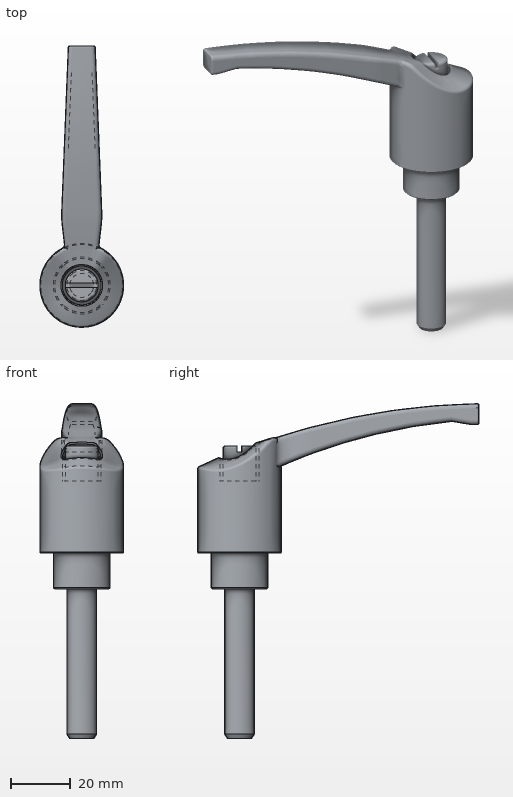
import cadquery as cq
import math


stud_diameter = 10.0
stud_length = 50.0
stud_tip_diameter = 8.0
stud_tip_height = 1.5

collar_diameter = 19.0
collar_height = 12.0
collar_chamfer = 0.5

hub_diameter = 28.0
hub_radius = hub_diameter / 2
hub_bottom_chamfer = 0.3
hub_rim_fillet = 1.0
wall_tolerance = 0.05

crown_height = 47.1
crown_tilt = 0.49
crown_mean_fall = 0.18
crown_cross_fall = 0.21
crown_overhang = 3.0
crown_outer_radius = hub_radius + crown_overhang
crown_points = 36
arm_slope = 0.285
flat_half_angle = math.radians(20)
cone_half_angle = math.radians(54)

bore_diameter = 13.0
bore_floor = 36.0
bore_rim_chamfer = 0.5
screw_diameter = 11.0
screw_top = 47.8
screw_fillet = 0.85
slot_width = 1.5
slot_depth = 2.0
screw_overlap = 0.5
crown_inner_radius = screw_diameter / 2 - screw_overlap

overall_height = 111.93
overall_depth = 94.0
arm_tip_y = overall_depth - hub_radius
arm_top_z = overall_height - stud_length
arm_tip_depth = 7.0
arm_root_y = 8.0
arm_root_sink = 0.15
arm_rim_rise = 0.05
arm_root_z = crown_height + arm_root_y * arm_slope - arm_root_sink
top_arc_start = (hub_radius, crown_height + hub_radius * arm_slope + arm_rim_rise)
bottom_lip_length = 2.6
bottom_lip_y = arm_tip_y - bottom_lip_length
bottom_arc_start = (71.0, 56.0)
bottom_arc_middle = (43.5, 51.2)
bottom_arc_end = (arm_root_y, 38.4)

arm_tip_half_width = 4.5
arm_wide_half_width = 6.8
arm_wide_y = 22.4
arm_neck_half_width = 5.8
arm_root_half_width = 4.0
arm_wide_round = 25.0
arm_top_fillet = 1.5
arm_bottom_fillet = 1.4
arm_tip_fillet = 0.6
arm_neck_round = 1.7

neck_round_x = arm_neck_half_width + arm_neck_round
neck_round_y = math.sqrt((hub_radius + arm_neck_round) ** 2 - neck_round_x ** 2)
neck_foot_x = neck_round_x * hub_radius / (hub_radius + arm_neck_round)
neck_foot_y = neck_round_y * hub_radius / (hub_radius + arm_neck_round)


def cylinder(diameter, bottom, top):
    return cq.Workplane("XY").workplane(offset=bottom).circle(diameter / 2).extrude(top - bottom)


def make_stud():
    stud = cylinder(stud_diameter, -stud_length, collar_height)
    tip_inset = (stud_diameter - stud_tip_diameter) / 2
    return stud.faces("<Z").chamfer(stud_tip_height, tip_inset)


def make_collar():
    collar = cylinder(collar_diameter, 0, collar_height)
    return collar.faces("<Z").chamfer(collar_chamfer)


def crown_fall(angle):
    """Slope of the hub top along the ruling at an angle measured from +Y."""
    flat = -arm_slope * math.cos(angle)
    cone = crown_mean_fall - crown_tilt * math.cos(angle) - crown_cross_fall * math.cos(2 * angle)
    off_arm = abs(math.remainder(angle, 2 * math.pi))
    share = min(max((off_arm - flat_half_angle) / (cone_half_angle - flat_half_angle), 0), 1)
    blend = share * share * (3 - 2 * share)
    return flat + blend * (cone - flat)


def crown_z(radius, angle):
    return crown_height - radius * crown_fall(angle)


def base_z(radius, angle):
    return 0.0


def closed_curve(radius, height_at):
    """Closed curve around the hub axis whose height follows a function of radius and angle."""
    points = []
    for i in range(crown_points):
        angle = 2 * math.pi * i / crown_points
        points.append((-radius * math.sin(angle), radius * math.cos(angle), height_at(radius, angle)))
    curve = cq.Edge.makeSpline([cq.Vector(*point) for point in points], periodic=True)
    return cq.Wire.assembleEdges([curve])


def make_crown_block():
    """Oversize ring whose top is the ruled crown surface."""
    inner_top = closed_curve(crown_inner_radius, crown_z)
    outer_top = closed_curve(crown_outer_radius, crown_z)
    inner_base = closed_curve(crown_inner_radius, base_z)
    outer_base = closed_curve(crown_outer_radius, base_z)
    surfaces = [
        cq.Face.makeRuledSurface(inner_top, outer_top),
        cq.Face.makeRuledSurface(outer_top, outer_base),
        cq.Face.makeRuledSurface(inner_base, inner_top),
        cq.Face.makeFromWires(outer_base, [inner_base]),
    ]
    faces = [face for surface in surfaces for face in surface.Faces()]
    ring = cq.Solid.makeSolid(cq.Shell.makeShell(faces))
    return cq.Workplane(ring.fix())


def top_edge(hub, radius):
    """Edges where the hub top meets an upright wall of the given radius."""
    def on_rim(edge):
        middle = edge.positionAt(0.5)
        near_wall = abs(math.hypot(middle.x, middle.y) - radius) < wall_tolerance
        return near_wall and middle.z > bore_floor and edge.geomType() != "LINE"

    return hub.edges().filter(on_rim)


def make_hub():
    hub = cylinder(hub_diameter, collar_height, arm_top_z).intersect(make_crown_block())
    bottom_edge = cq.selectors.RadiusNthSelector(-1)
    hub = hub.faces("<Z").edges("%CIRCLE").edges(bottom_edge).chamfer(hub_bottom_chamfer)
    hub = top_edge(hub, hub_radius).fillet(hub_rim_fillet)
    hub = hub.cut(cylinder(bore_diameter, bore_floor, arm_top_z))
    return top_edge(hub, bore_diameter / 2).chamfer(bore_rim_chamfer)


def long_edges(arm, upper):
    """Edges along the two flanks: those above the chord of the top, or those below it."""
    chord_slope = (arm_top_z - arm_root_z) / (arm_tip_y - arm_root_y)

    def on_flank(edge):
        middle = edge.positionAt(0.5)
        on_side = abs(middle.x) > arm_tip_half_width / 2
        runs_along = abs(edge.startPoint().y - edge.endPoint().y) > arm_tip_fillet
        above_chord = middle.z > arm_root_z - arm_top_fillet / 2 + chord_slope * (middle.y - arm_root_y)
        outside_hub = middle.y > neck_foot_y
        return on_side and runs_along and outside_hub and above_chord == upper

    return arm.edges().filter(on_flank)


def make_arm():
    profile = (
        cq.Workplane("YZ")
        .moveTo(arm_root_y, arm_root_z)
        .lineTo(*top_arc_start)
        .tangentArcPoint((arm_tip_y, arm_top_z), relative=False)
        .lineTo(arm_tip_y, arm_top_z - arm_tip_depth)
        .lineTo(bottom_lip_y, arm_top_z - arm_tip_depth)
        .lineTo(*bottom_arc_start)
        .threePointArc(bottom_arc_middle, bottom_arc_end)
        .close()
        .extrude(hub_radius, both=True)
    )
    plan = (
        cq.Workplane("XY")
        .moveTo(0, arm_tip_y)
        .lineTo(arm_tip_half_width, arm_tip_y)
        .lineTo(arm_wide_half_width, arm_wide_y)
        .lineTo(arm_neck_half_width, neck_round_y)
        .tangentArcPoint((neck_foot_x, neck_foot_y), relative=False)
        .lineTo(arm_root_half_width, arm_root_y)
        .lineTo(0, arm_root_y)
        .close()
        .extrude(arm_top_z)
    )
    plan = plan.union(plan.mirror("YZ"))
    near_widest = cq.selectors.BoxSelector(
        (-hub_radius, arm_wide_y - arm_neck_round, 0),
        (hub_radius, arm_wide_y + arm_neck_round, arm_top_z),
    )
    plan = plan.edges("|Z").edges(near_widest).fillet(arm_wide_round)
    arm = profile.intersect(plan)
    arm = long_edges(arm, upper=False).fillet(arm_bottom_fillet)
    arm = long_edges(arm, upper=True).fillet(arm_top_fillet)
    return arm.faces(">Y").edges().fillet(arm_tip_fillet)


def make_screw():
    screw = cylinder(screw_diameter, collar_height, screw_top).faces(">Z").edges().fillet(screw_fillet)
    slot = (
        cq.Workplane("XY")
        .workplane(offset=screw_top - slot_depth)
        .rect(screw_diameter, slot_width)
        .extrude(slot_depth)
    )
    return screw.cut(slot)


result = make_stud().union(make_collar()).union(make_hub()).union(make_arm()).union(make_screw())